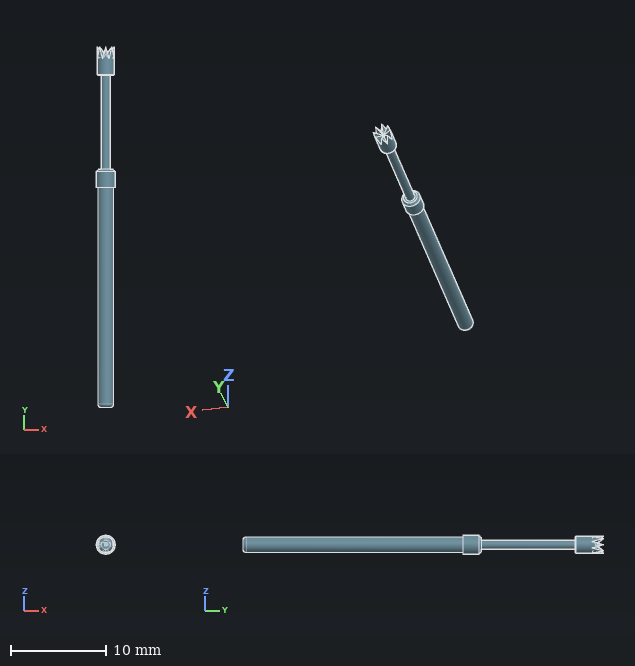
import cadquery as cq
import math

total_length = 37.8

barrel_length = 23.05
barrel_diameter = 1.65
tail_fillet = 0.38
collar_length = 1.93
collar_diameter = 2.0
collar_chamfer = 0.25

plunger_diameter = 1.0
head_length = 3.0
head_diameter = 1.8
head_chamfer = 0.08

tooth_count = 8
centre_depth = 0.85
valley_depth = 1.2

collar_end = barrel_length + collar_length
head_start = total_length - head_length
head_radius = head_diameter / 2


def cylinder(diameter, start, end):
    """Round bar on the Y axis between two stations."""
    bar = cq.Workplane("XZ", origin=(0, start, 0)).circle(diameter / 2)
    return bar.extrude(start - end)


def make_barrel():
    """Barrel with a rounded tail and a collar bevelled on the plunger side."""
    tube = cylinder(barrel_diameter, 0, barrel_length).faces("<Y").edges().fillet(tail_fillet)
    collar = cylinder(collar_diameter, barrel_length, collar_end)
    return tube.union(collar.faces(">Y").edges().chamfer(collar_chamfer))


def crown_cutter():
    """Solid whose underside is a star of flat facets around the crown's centre."""
    overreach = 1.5
    centre_y = total_length - centre_depth
    roof_y = total_length + head_length
    centre = cq.Vector(0, centre_y, 0)
    corner_count = 2 * tooth_count

    rim = []
    roof = []
    for i in range(corner_count):
        angle = 2 * math.pi * i / corner_count
        depth = valley_depth if i % 2 else 0
        rise = overreach * (centre_depth - depth)
        x = overreach * head_radius * math.cos(angle)
        z = overreach * head_radius * math.sin(angle)
        rim.append(cq.Vector(x, centre_y + rise, z))
        roof.append(cq.Vector(x, roof_y, z))

    outlines = [roof]
    for i in range(corner_count):
        after = (i + 1) % corner_count
        outlines.append([centre, rim[i], rim[after]])
        outlines.append([rim[i], rim[after], roof[after], roof[i]])
    faces = [cq.Face.makeFromWires(cq.Wire.makePolygon(points, close=True)) for points in outlines]
    return cq.Workplane(obj=cq.Solid.makeSolid(cq.Shell.makeShell(faces)))


def make_plunger():
    """Plunger shaft carrying the toothed head."""
    shaft = cylinder(plunger_diameter, collar_end, head_start)
    head = cylinder(head_diameter, head_start, total_length)
    head = head.faces("<Y").edges().chamfer(head_chamfer)
    return shaft.union(head.cut(crown_cutter()))


result = cq.Workplane(obj=make_barrel().union(make_plunger()).solids().val())